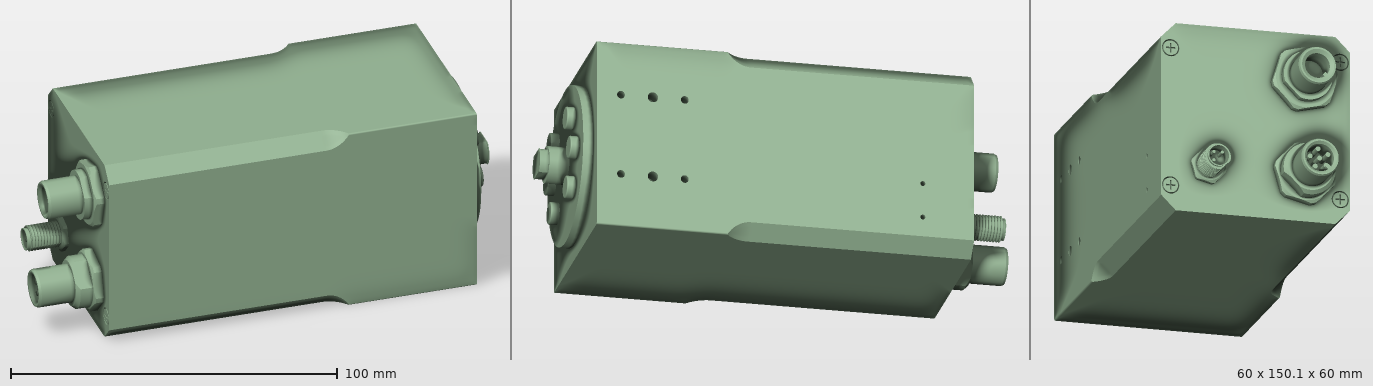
import cadquery as cq
import math

OVERALL_LENGTH = 150.1
BODY_SIDE = 60.0
BODY_LENGTH = 118.3
EDGE_RADIUS = 0.5
CHAMFER_LEG = 4.6
CHAMFER_STRAIGHT = 70.0
RUNOUT_RADIUS = 10.0

FLANGE_DIAMETER = 50.0
FLANGE_THICKNESS = 3.1
BOSS_DIAMETER = 11.5
BOSS_LENGTH = 6.25
SHAFT_DIAMETER = 9.7
SHAFT_FLATS_WIDTH = 7.6
SHAFT_LIP_DIAMETER = 10.5
SHAFT_LIP_THICKNESS = 0.3
SHAFT_LENGTH = 2.85
FLANGE_SCREW_CIRCLE_RADIUS = 16.0
FLANGE_SCREW_DIAMETER = 7.0
FLANGE_SCREW_HEIGHT = 2.7
FLANGE_SCREW_EDGE_RADIUS = 0.4
FLANGE_SCREW_ANGLES = [0, 45, 135, 180, 225, 315]

COVER_SCREW_X = 27.0
COVER_SCREW_Z = 22.0
COVER_BORE_DIAMETER = 5.5
COVER_BORE_DEPTH = 2.0
COVER_HEAD_DIAMETER = 4.7
CROSS_LENGTH = 3.1
CROSS_WIDTH = 0.5
CROSS_DEPTH = 1.0

MOUNT_HOLE_Z = 13.0
MOUNT_HOLE_SPACING = 10.0
MOUNT_CENTRE_FROM_REAR = 17.6
MOUNT_CENTRE_DIAMETER = 3.24
MOUNT_OUTER_DIAMETER = 2.46
LABEL_HOLE_DIAMETER = 1.57
LABEL_HOLE_FROM_FRONT = 16.1
LABEL_HOLE_SPACING = 11.0
LABEL_HOLE_MID_Z = -13.6
SIDE_HOLE_DEPTH = 6.0
DRILL_POINT_ANGLE = 118.0

CONNECTOR_OFFSET = 15.2
BIG_NUT_THICKNESS = 3.1
COLLAR_FLATS_WIDTH = 13.9
BARREL_DIAMETER = 12.0
BARREL_TIP_DIAMETER = 11.3
BARREL_TIP_LENGTH = 0.8
BARREL_BORE_DEPTH = 9.0
BARREL_MOUTH_DIAMETER = 10.2
BARREL_MOUTH_DEPTH = 0.8
KEY_WIDTH = 1.3
KEY_INNER_RADIUS = 3.1
KEY_ROOT_OVERLAP = 0.3
KEY_SETBACK = 1.0
KEY_ANGLE = -45.0

UPPER_NUT_FLATS = 19.0
UPPER_NUT_CORNERS = 21.0
UPPER_NUT_ANGLE = 13.0
UPPER_COLLAR_DIAMETER = 15.5
UPPER_COLLAR_END = 5.5
UPPER_BARREL_END = 16.5
UPPER_BORE_DIAMETER = 7.9

LOWER_NUT_FLATS = 17.8
LOWER_NUT_CORNERS = 19.6
LOWER_NUT_ANGLE = 46.0
LOWER_COLLAR_DIAMETER = 16.5
LOWER_COLLAR_TIP_DIAMETER = 14.4
LOWER_COLLAR_SHOULDER = 7.0
LOWER_COLLAR_END = 8.2
LOWER_BORE_DIAMETER = 8.7
PIN_DIAMETER = 1.55
PIN_CIRCLE_RADIUS = 3.0
PIN_COUNT = 5
PIN_LENGTH = 7.5

SMALL_NUT_FLATS = 10.2
SMALL_NUT_CORNERS = 11.3
SMALL_NUT_ANGLE = 46.0
SMALL_NUT_THICKNESS = 1.9
THREAD_DIAMETER = 8.2
THREAD_ROOT_DIAMETER = 7.4
THREAD_PITCH = 0.95
THREAD_CREST = 0.32
THREAD_COUNT = 10
THREAD_FLAT_DISTANCE = 3.6
SMALL_TIP_DIAMETER = 6.7
SMALL_LIP_DIAMETER = 7.0
SMALL_LIP_THICKNESS = 0.3
SMALL_TIP_END = 12.6
SMALL_BORE_DIAMETER = 6.3
SMALL_BORE_DEPTH = 5.0
SMALL_PIN_DIAMETER = 1.0
SMALL_PIN_OFFSET = 1.33
SMALL_PIN_LENGTH = 4.0

NUT_BEVEL_RADIAL = 0.9
NUT_BEVEL_HEIGHT = 0.6


def rod(diameter, y_start, y_end, x=0.0, z=0.0):
    """Cylinder along Y between two heights."""
    base = cq.Workplane("XZ", origin=(x, y_end, z))
    return base.circle(diameter / 2).extrude(y_end - y_start)


def turned(profile):
    """Solid of revolution standing on the front face, from (diameter, height) pairs."""
    outline = [(0, 0)]
    outline += [(diameter / 2, -height) for diameter, height in profile]
    outline += [(0, -profile[-1][1])]
    return cq.Workplane("XY").polyline(outline).close().revolve(360, (0, 0), (0, 1))


def slab(width, y_start, y_end, angle):
    """Plate centred on the Y axis whose two faces look along the given angle."""
    long_side = 2 * BODY_SIDE
    plate = cq.Workplane("XY").box(width, y_end - y_start, long_side)
    plate = plate.translate((0, (y_start + y_end) / 2, 0))
    return plate.rotate((0, 0, 0), (0, 1, 0), -angle)


def bevelled_nut(across_flats, across_corners, thickness, angle):
    """Hexagon nut with its corners turned down and bevelled at the front."""
    hexagon = cq.Workplane("XZ").polygon(6, across_flats / math.cos(math.pi / 6)).extrude(thickness)
    hexagon = hexagon.rotate((0, 0, 0), (0, 1, 0), -angle)
    envelope = turned([
        (across_corners, 0),
        (across_corners, thickness - NUT_BEVEL_HEIGHT),
        (across_corners - 2 * NUT_BEVEL_RADIAL, thickness),
    ])
    return hexagon.intersect(envelope)


def housing():
    middle = BODY_LENGTH / 2
    body = cq.Workplane("XY").box(BODY_SIDE, BODY_LENGTH, BODY_SIDE)
    body = body.translate((0, middle, 0)).edges("|Y").fillet(EDGE_RADIUS)

    flat_radius = (BODY_SIDE - CHAMFER_LEG) / math.sqrt(2)
    clear_radius = flat_radius + RUNOUT_RADIUS
    arc_end = CHAMFER_STRAIGHT + RUNOUT_RADIUS
    arc_offset = RUNOUT_RADIUS * math.sin(math.pi / 4)
    cutter = (
        cq.Workplane("XY")
        .moveTo(flat_radius, 0)
        .lineTo(flat_radius, CHAMFER_STRAIGHT)
        .threePointArc(
            (clear_radius - arc_offset, CHAMFER_STRAIGHT + arc_offset),
            (clear_radius, arc_end),
        )
        .lineTo(clear_radius, 0)
        .close()
        .extrude(BODY_SIDE / 4, both=True)
    )
    for angle in (45, 135, 225, 315):
        body = body.cut(cutter.rotate((0, 0, 0), (0, 1, 0), angle))
    return body


def rear_flange():
    flange_end = BODY_LENGTH + FLANGE_THICKNESS
    boss_end = flange_end + BOSS_LENGTH
    shaft_end = boss_end + SHAFT_LENGTH
    shaft = rod(SHAFT_DIAMETER, boss_end, shaft_end)
    shaft = shaft.union(rod(SHAFT_LIP_DIAMETER, shaft_end - SHAFT_LIP_THICKNESS, shaft_end))
    shaft = shaft.intersect(slab(SHAFT_FLATS_WIDTH, boss_end, shaft_end, 90))

    flange = rod(FLANGE_DIAMETER, BODY_LENGTH, flange_end)
    flange = flange.union(rod(BOSS_DIAMETER, flange_end, boss_end)).union(shaft)
    for angle in FLANGE_SCREW_ANGLES:
        x = FLANGE_SCREW_CIRCLE_RADIUS * math.cos(math.radians(angle))
        z = FLANGE_SCREW_CIRCLE_RADIUS * math.sin(math.radians(angle))
        head = rod(FLANGE_SCREW_DIAMETER, flange_end, flange_end + FLANGE_SCREW_HEIGHT, x, z)
        flange = flange.union(head.faces(">Y").edges().fillet(FLANGE_SCREW_EDGE_RADIUS))
    return flange


def cover_screw_recess():
    """Ring gap around a flush screw head, plus its cross recess."""
    gap = rod(COVER_BORE_DIAMETER, 0, COVER_BORE_DEPTH).cut(rod(COVER_HEAD_DIAMETER, 0, COVER_BORE_DEPTH))
    bar = cq.Workplane("XY").box(CROSS_LENGTH, 2 * CROSS_DEPTH, CROSS_WIDTH)
    upright = bar.rotate((0, 0, 0), (0, 1, 0), 90)
    return gap.union(bar).union(upright)


def drilled_hole(diameter, y, z):
    """Drill shape entering the -X side, with a pointed end."""
    radius = diameter / 2
    tip_depth = SIDE_HOLE_DEPTH + radius / math.tan(math.radians(DRILL_POINT_ANGLE / 2))
    outline = [(0, 0), (0, radius), (SIDE_HOLE_DEPTH, radius), (tip_depth, 0)]
    drill = cq.Workplane("XY").polyline(outline).close().revolve(360, (0, 0), (1, 0))
    return drill.translate((-BODY_SIDE / 2, y, z))


def reamed_hole(diameter, y, z):
    """Flat-bottomed hole shape entering the -X side."""
    plane = cq.Workplane("YZ", origin=(-BODY_SIDE / 2, y, z))
    return plane.circle(diameter / 2).extrude(SIDE_HOLE_DEPTH)


def side_holes():
    mount_y = BODY_LENGTH - MOUNT_CENTRE_FROM_REAR
    holes = drilled_hole(MOUNT_CENTRE_DIAMETER, mount_y, MOUNT_HOLE_Z)
    holes = holes.add(reamed_hole(MOUNT_CENTRE_DIAMETER, mount_y, -MOUNT_HOLE_Z))
    for z in (-MOUNT_HOLE_Z, MOUNT_HOLE_Z):
        for step in (-MOUNT_HOLE_SPACING, MOUNT_HOLE_SPACING):
            holes = holes.add(drilled_hole(MOUNT_OUTER_DIAMETER, mount_y + step, z))
    for step in (-LABEL_HOLE_SPACING / 2, LABEL_HOLE_SPACING / 2):
        z = LABEL_HOLE_MID_Z + step
        holes = holes.add(drilled_hole(LABEL_HOLE_DIAMETER, LABEL_HOLE_FROM_FRONT, z))
    return holes.combine()


def keyed_barrel(end, bore_diameter):
    """Hollow connector barrel with a bevelled tip and a key in its bore."""
    bore_floor = end - BARREL_BORE_DEPTH
    barrel = turned([
        (BARREL_DIAMETER, 0),
        (BARREL_DIAMETER, end - BARREL_TIP_LENGTH),
        (BARREL_TIP_DIAMETER, end),
        (BARREL_MOUTH_DIAMETER, end),
        (bore_diameter, end - BARREL_MOUTH_DEPTH),
        (bore_diameter, bore_floor),
    ])
    key_height = bore_diameter / 2 + KEY_ROOT_OVERLAP - KEY_INNER_RADIUS
    key_length = BARREL_BORE_DEPTH - KEY_SETBACK
    key = cq.Workplane("XY").box(key_height, key_length, KEY_WIDTH)
    key = key.translate((KEY_INNER_RADIUS + key_height / 2, -bore_floor - key_length / 2, 0))
    return barrel.union(key.rotate((0, 0, 0), (0, 1, 0), -KEY_ANGLE))


def upper_connector():
    nut = bevelled_nut(UPPER_NUT_FLATS, UPPER_NUT_CORNERS, BIG_NUT_THICKNESS, UPPER_NUT_ANGLE)
    collar = rod(UPPER_COLLAR_DIAMETER, -UPPER_COLLAR_END, 0)
    collar = collar.intersect(slab(COLLAR_FLATS_WIDTH, -UPPER_COLLAR_END, 0, 45))
    return nut.union(collar).union(keyed_barrel(UPPER_BARREL_END, UPPER_BORE_DIAMETER))


def lower_connector(barrel_end):
    nut = bevelled_nut(LOWER_NUT_FLATS, LOWER_NUT_CORNERS, BIG_NUT_THICKNESS, LOWER_NUT_ANGLE)
    collar = turned([
        (LOWER_COLLAR_DIAMETER, 0),
        (LOWER_COLLAR_DIAMETER, LOWER_COLLAR_SHOULDER),
        (LOWER_COLLAR_TIP_DIAMETER, LOWER_COLLAR_END),
    ])
    collar = collar.intersect(slab(COLLAR_FLATS_WIDTH, -LOWER_COLLAR_END, 0, 45))
    connector = nut.union(collar).union(keyed_barrel(barrel_end, LOWER_BORE_DIAMETER))

    bore_floor = barrel_end - BARREL_BORE_DEPTH
    pin_places = [(0, 0)]
    for index in range(PIN_COUNT):
        angle = math.radians(KEY_ANGLE + index * 360 / PIN_COUNT)
        pin_places.append((PIN_CIRCLE_RADIUS * math.cos(angle), PIN_CIRCLE_RADIUS * math.sin(angle)))
    for x, z in pin_places:
        connector = connector.union(rod(PIN_DIAMETER, -bore_floor - PIN_LENGTH, -bore_floor, x, z))
    return connector


def small_connector():
    thread_profile = [(THREAD_DIAMETER, 0)]
    groove_half = (THREAD_PITCH - THREAD_CREST) / 2
    for index in range(THREAD_COUNT):
        groove_middle = SMALL_NUT_THICKNESS + (index + 0.5) * THREAD_PITCH
        thread_profile += [
            (THREAD_DIAMETER, groove_middle - groove_half),
            (THREAD_ROOT_DIAMETER, groove_middle),
            (THREAD_DIAMETER, groove_middle + groove_half),
        ]
    thread_end = SMALL_NUT_THICKNESS + THREAD_COUNT * THREAD_PITCH
    lip_start = SMALL_TIP_END - SMALL_LIP_THICKNESS
    body = turned(thread_profile + [
        (THREAD_DIAMETER, thread_end),
        (SMALL_TIP_DIAMETER, thread_end),
        (SMALL_TIP_DIAMETER, lip_start),
        (SMALL_LIP_DIAMETER, lip_start),
        (SMALL_LIP_DIAMETER, SMALL_TIP_END),
    ])
    flat_side = slab(THREAD_DIAMETER, -SMALL_TIP_END, 0, 0)
    flat_side = flat_side.translate((THREAD_FLAT_DISTANCE - THREAD_DIAMETER / 2, 0, 0))
    body = body.intersect(flat_side.rotate((0, 0, 0), (0, 1, 0), -KEY_ANGLE))

    bore_floor = SMALL_TIP_END - SMALL_BORE_DEPTH
    body = body.cut(rod(SMALL_BORE_DIAMETER, -SMALL_TIP_END, -bore_floor))
    for x_sign, z_sign in ((-1, 1), (1, 1), (-1, -1)):
        x = x_sign * SMALL_PIN_OFFSET
        z = z_sign * SMALL_PIN_OFFSET
        body = body.union(rod(SMALL_PIN_DIAMETER, -bore_floor - SMALL_PIN_LENGTH, -bore_floor, x, z))
    nut = bevelled_nut(SMALL_NUT_FLATS, SMALL_NUT_CORNERS, SMALL_NUT_THICKNESS, SMALL_NUT_ANGLE)
    return nut.union(body)


rear_length = FLANGE_THICKNESS + BOSS_LENGTH + SHAFT_LENGTH
lower_barrel_end = OVERALL_LENGTH - BODY_LENGTH - rear_length

part = housing().cut(side_holes())
for screw_x in (-COVER_SCREW_X, COVER_SCREW_X):
    for screw_z in (-COVER_SCREW_Z, COVER_SCREW_Z):
        part = part.cut(cover_screw_recess().translate((screw_x, 0, screw_z)))
part = part.union(rear_flange())
part = part.union(upper_connector().translate((CONNECTOR_OFFSET, 0, CONNECTOR_OFFSET)))
part = part.union(lower_connector(lower_barrel_end).translate((CONNECTOR_OFFSET, 0, -CONNECTOR_OFFSET)))
part = part.union(small_connector().translate((-CONNECTOR_OFFSET, 0, -CONNECTOR_OFFSET)))
result = part